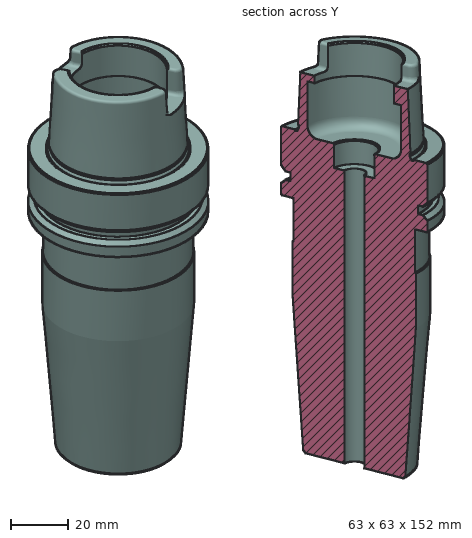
import cadquery as cq
import math


total_length = 152.0
shank_length = 31.9
nose_end_z = shank_length - total_length

shank_top_radius = 45.5 / 2
taper_per_side = 1 / 20
neck_height = 2.0
neck_radius = 47.7 / 2
neck_flare_height = 0.9
neck_flare_radius = 49.2 / 2
taper_base_radius = shank_top_radius + (shank_length - neck_height) * taper_per_side
shank_top_fillet = 1.0

face_recess_radius = 50.5 / 2
face_recess_depth = 0.5

flange_radius = 63.0 / 2
flange_width = 26.0
flange_edge_chamfer = 0.5
groove_radius = 55.0 / 2
groove_top_z = -16.7
groove_bottom_z = -19.8
groove_upper_cone_height = 2.0
groove_lower_cone_height = 1.7
groove_cone_inset = 2.0

collar_radius = 52.5 / 2
collar_end_z = -42.0
body_radius = 53.0 / 2
body_end_z = -62.8
body_edge_chamfer = body_radius - collar_radius
nose_half_angle = 4.5
nose_end_radius = body_radius - (body_end_z - nose_end_z) * math.tan(math.radians(nose_half_angle))
nose_end_chamfer = 1.0

bore_radius = 34.0 / 2
bore_mouth_chamfer = 0.6
undercut_radius = 40.0 / 2
undercut_start_depth = 12.9
bore_depth = 33.5
bore_floor_radius = 31.8 / 2
bore_floor_fillet = undercut_radius - bore_floor_radius
pocket_radius = 17.0 / 2
pocket_chamfer = 0.5
pocket_depth = 9.1
through_hole_radius = 8.4 / 2

slot_half_width = 12.5 / 2
slot_corner_radius = 2.5
slot_floor_fillet = 1.5
shallow_slot_depth = 6.1
deep_slot_depth = 10.0
slot_reach = 30.4
selection_margin = 0.2


def make_outer_body():
    """Solid of revolution with the whole outer outline."""
    flange_end_z = -flange_width
    inset_radius = flange_radius - groove_cone_inset
    chamfered_flange_radius = flange_radius - flange_edge_chamfer
    outline = [
        (0, shank_length),
        (shank_top_radius, shank_length),
        (taper_base_radius, neck_height),
        (neck_radius, neck_height - (taper_base_radius - neck_radius)),
        (neck_radius, neck_flare_height),
        (neck_flare_radius, -face_recess_depth),
        (face_recess_radius, -face_recess_depth),
        (face_recess_radius, 0),
        (chamfered_flange_radius, 0),
        (flange_radius, -flange_edge_chamfer),
        (flange_radius, groove_top_z + groove_upper_cone_height),
        (inset_radius, groove_top_z),
        (groove_radius, groove_top_z),
        (groove_radius, groove_bottom_z),
        (inset_radius, groove_bottom_z),
        (flange_radius, groove_bottom_z - groove_lower_cone_height),
        (flange_radius, flange_end_z + flange_edge_chamfer),
        (chamfered_flange_radius, flange_end_z),
        (collar_radius, flange_end_z),
        (collar_radius, collar_end_z),
        (body_radius, collar_end_z - body_edge_chamfer),
        (body_radius, body_end_z),
        (nose_end_radius, nose_end_z + nose_end_chamfer),
        (nose_end_radius - nose_end_chamfer, nose_end_z),
        (0, nose_end_z),
    ]
    return cq.Workplane("XZ").polyline(outline).close().revolve(360, (0, 0), (0, 1))


def make_bore():
    """Solid of revolution filling the undercut bore, the pocket in its floor and the through hole."""
    bore_floor_z = shank_length - bore_depth
    undercut_start_z = shank_length - undercut_start_depth
    pocket_floor_z = bore_floor_z - pocket_depth
    fillet_top_z = bore_floor_z + bore_floor_fillet
    arc_inset = bore_floor_fillet * (1 - math.sqrt(0.5))
    return (
        cq.Workplane("XZ")
        .moveTo(0, shank_length)
        .lineTo(bore_radius + bore_mouth_chamfer, shank_length)
        .lineTo(bore_radius, shank_length - bore_mouth_chamfer)
        .lineTo(bore_radius, undercut_start_z)
        .lineTo(undercut_radius, undercut_start_z)
        .lineTo(undercut_radius, fillet_top_z)
        .threePointArc(
            (undercut_radius - arc_inset, bore_floor_z + arc_inset),
            (bore_floor_radius, bore_floor_z),
        )
        .lineTo(pocket_radius + pocket_chamfer, bore_floor_z)
        .lineTo(pocket_radius, bore_floor_z - pocket_chamfer)
        .lineTo(pocket_radius, pocket_floor_z)
        .lineTo(through_hole_radius, pocket_floor_z)
        .lineTo(through_hole_radius, nose_end_z)
        .lineTo(0, nose_end_z)
        .close()
        .revolve(360, (0, 0), (0, 1))
    )


def cut_slot(body, side, depth):
    """Cut a drive slot through the shank wall on the +X (side = 1) or -X (side = -1) half."""
    floor_z = shank_length - depth
    slot = (
        cq.Workplane("XY", origin=(side * slot_reach / 2, 0, floor_z))
        .rect(slot_reach, 2 * slot_half_width)
        .extrude(depth)
    )
    body = body.cut(slot)
    outer_corners = cq.selectors.BoxSelector(
        (side * neck_radius / 2, -slot_reach, floor_z + selection_margin),
        (side * slot_reach, slot_reach, shank_length - selection_margin),
    )
    body = body.edges(outer_corners).fillet(slot_corner_radius)

    wall_limit_x = shank_top_radius - slot_floor_fillet
    for wall_side in (1, -1):
        wall_foot = cq.selectors.BoxSelector(
            (0, wall_side * slot_half_width / 2, floor_z - selection_margin),
            (side * wall_limit_x, wall_side * slot_reach, floor_z + selection_margin),
        )
        body = body.edges(wall_foot).fillet(slot_floor_fillet)
    return body


holder = make_outer_body()
holder = cut_slot(holder, 1, deep_slot_depth)
holder = cut_slot(holder, -1, shallow_slot_depth)
holder = holder.faces(">Z").edges().fillet(shank_top_fillet)
result = holder.cut(make_bore())